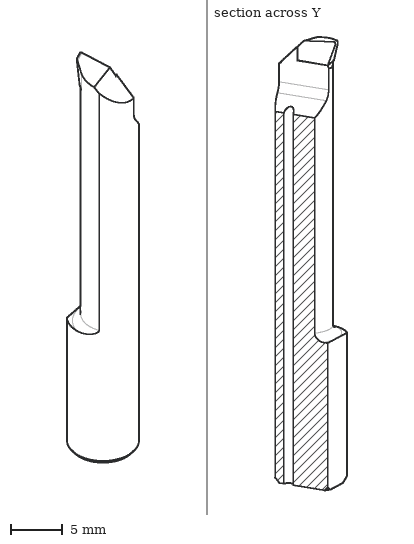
import cadquery as cq
import math

shank_radius = 3.5
shank_length = 15.0
flat_x = -2.85
end_chamfer_height = 0.5
end_chamfer_width = 0.4

overall_length = 45.0
neck_radius = 3.15
neck_center_x = 1.15
shoulder_fillet = 0.8

coolant_diameter = 1.0
coolant_x = 1.5
coolant_y = 1.8

rake_y = 0.1
runout_angle = 42.0
runout_corner_z = 39.5
runout_radius = 1.5

nose_radius = 0.2
nose_center_x = -2.55
end_edge_angle = 7.0
side_edge_angle = 69.0
crest_x = 0.82
back_bevel_slope = 1.0
tip_base_z = 42.5
notch_outer_drop = 0.25

breaker_depth = 0.15
breaker_end_x = 1.5

end_relief = cq.Vector(0.065, -1, -0.15)
side_relief = cq.Vector(0.16, -1, 0)

tip_stock = 1.0
margin = 5.0
blank_length = overall_length + tip_stock
neck_left_x = neck_center_x - neck_radius

end_slope = math.tan(math.radians(end_edge_angle))
side_slope = math.tan(math.radians(side_edge_angle))
half_nose_angle = math.radians(side_edge_angle - end_edge_angle) / 2
bisector_angle = math.radians(side_edge_angle + end_edge_angle) / 2
corner_reach = nose_radius / math.sin(half_nose_angle)
corner_x = nose_center_x - corner_reach * math.cos(bisector_angle)
corner_z = overall_length - nose_radius + corner_reach * math.sin(bisector_angle)
crest_z = corner_z - end_slope * (crest_x - corner_x)
tip_base_x = corner_x + (corner_z - tip_base_z) / side_slope


def shank_cylinder(length):
    return cq.Workplane("XY").circle(shank_radius).extrude(length)


def shank():
    end_radius = shank_radius - end_chamfer_width
    profile = [
        (0, 0),
        (end_radius, 0),
        (shank_radius, end_chamfer_height),
        (shank_radius, shank_length),
        (0, shank_length),
    ]
    body = cq.Workplane("XZ").polyline(profile).close().revolve(360, (0, 0), (0, 1))
    flat_cut = cq.Workplane("XY").box(margin, 2 * margin, shank_length, centered=(False, True, False))
    return body.cut(flat_cut.translate((flat_x - margin, 0, 0)))


def neck():
    """Eccentric round neck with a concave fillet at the shank shoulder."""
    fillet_outer = neck_radius + shoulder_fillet
    fillet_top = shank_length + shoulder_fillet
    sagitta = shoulder_fillet * (1 - math.sqrt(0.5))
    fillet_middle = (neck_radius + sagitta, shank_length + sagitta)
    body = (
        cq.Workplane("XZ")
        .moveTo(0, shank_length)
        .lineTo(fillet_outer, shank_length)
        .threePointArc(fillet_middle, (neck_radius, fillet_top))
        .lineTo(neck_radius, blank_length)
        .lineTo(0, blank_length)
        .close()
        .revolve(360, (0, 0), (0, 1))
        .translate((neck_center_x, 0, 0))
    )
    return body.intersect(shank_cylinder(blank_length))


def tip_block():
    """Wedge of tip material standing out from the neck beside the rake face.

    Its vertical flank runs at 45 degrees, tangent to the neck surface.
    """
    tangent_step = neck_radius * math.sqrt(0.5)
    tangent_x = neck_center_x - tangent_step
    tangent_y = -tangent_step
    outline = [
        (tangent_x + tangent_y - rake_y, rake_y),
        (tangent_x, tangent_y),
        (neck_center_x, 0),
        (neck_center_x, rake_y),
    ]
    return (
        cq.Workplane("XY", origin=(0, 0, tip_base_z))
        .polyline(outline)
        .close()
        .extrude(blank_length - tip_base_z)
    )


def runout_cut():
    """Removes the +Y half of the tip, ending in a rounded slope."""
    run = margin
    fall = run / math.tan(math.radians(runout_angle))
    top = overall_length + margin
    outline = [
        (rake_y, top),
        (rake_y, runout_corner_z),
        (rake_y + run, runout_corner_z - fall),
        (rake_y + run, top),
    ]
    tool = cq.Workplane("YZ", origin=(-2 * margin, 0, 0)).polyline(outline).close().extrude(4 * margin)
    corner = cq.selectors.NearestToPointSelector((0, rake_y, runout_corner_z))
    return tool.edges(corner).fillet(runout_radius)


def relief_cut(outline, direction):
    """Prism on an XZ outline, drawn in the rake plane and run obliquely along direction."""
    points = [cq.Vector(x, rake_y, z) - direction * margin for x, z in outline]
    wire = cq.Wire.makePolygon(points, close=True)
    return cq.Workplane(cq.Solid.extrudeLinear(wire, [], direction * (3 * margin)))


def end_cut():
    """Clears the end face and the back bevel behind it."""
    far_left = corner_x - margin
    far_right = crest_x + 2 * margin
    top = overall_length + 2 * margin
    outline = [
        (far_left, corner_z + end_slope * margin),
        (crest_x, crest_z),
        (far_right, crest_z - back_bevel_slope * (far_right - crest_x)),
        (far_right, top),
        (far_left, top),
    ]
    return relief_cut(outline, end_relief)


def side_cut():
    """Clears the side flank and the small notch under it."""
    floor_slope = notch_outer_drop / (tip_base_x - neck_left_x)
    far_left = corner_x - margin
    outline = [
        (tip_base_x, tip_base_z),
        (corner_x - margin / side_slope, corner_z + margin),
        (far_left, corner_z + margin),
        (far_left, tip_base_z - floor_slope * (tip_base_x - far_left)),
    ]
    return relief_cut(outline, side_relief)


def coolant_hole():
    return (
        cq.Workplane("XY")
        .center(coolant_x, coolant_y)
        .circle(coolant_diameter / 2)
        .extrude(overall_length)
    )


def chip_breaker():
    """Shallow wedge in the rake face, deepest at its end wall."""
    outline = [
        (corner_x, rake_y),
        (breaker_end_x, rake_y - breaker_depth),
        (breaker_end_x, rake_y),
    ]
    return (
        cq.Workplane("XY", origin=(0, 0, tip_base_z))
        .polyline(outline)
        .close()
        .extrude(blank_length - tip_base_z)
    )


def round_nose(body):
    nose_edge = cq.selectors.NearestToPointSelector((corner_x, rake_y - nose_radius, corner_z))
    return body.edges(nose_edge).fillet(nose_radius)


relieved_bar = (
    shank()
    .union(neck())
    .union(tip_block())
    .cut(runout_cut())
    .cut(end_cut())
    .cut(side_cut())
)
result = round_nose(relieved_bar).cut(chip_breaker()).cut(coolant_hole())